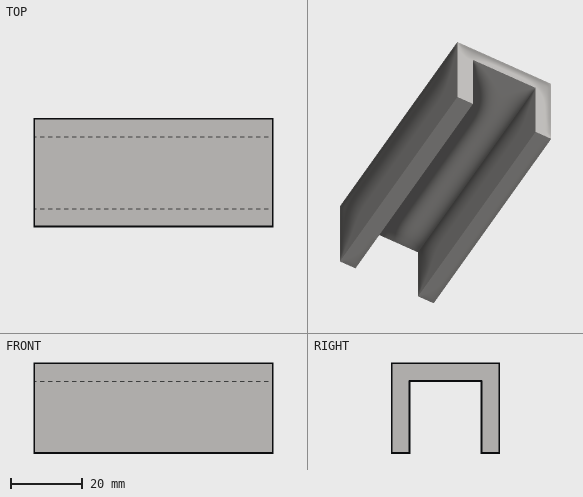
import cadquery as cq

length = 66.5
channel_width = 20.0
channel_depth = 20.0
wall = 5.0

outer_width = channel_width + 2 * wall
outer_height = channel_depth + wall


def make_block():
    """Solid outer block, centred in X and Y, standing on Z = 0."""
    return cq.Workplane("XY").box(length, outer_width, outer_height, centered=(True, True, False))


def make_channel():
    """Full-length channel, open at the underside."""
    return cq.Workplane("XY").box(length, channel_width, channel_depth, centered=(True, True, False))


result = make_block().cut(make_channel())